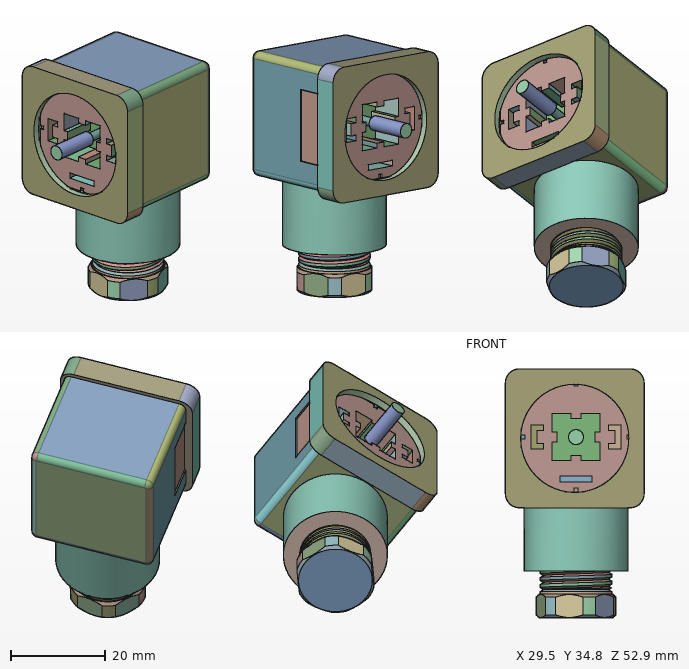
import cadquery as cq
import math


TOTAL_HEIGHT = 52.9

FLANGE_SIZE = 29.5
FLANGE_THICKNESS = 5.0
FLANGE_CORNER_RADIUS = 3.0
FLANGE_OFFSET = -0.25

HOUSING_SIZE = 27.1
HOUSING_BACK_Y = 28.5
HOUSING_EDGE_RADIUS = 1.5
HOUSING_BACK_RADIUS = 1.25

LABEL_BACK_Y = 12.4
LABEL_HEIGHT = 15.55
LABEL_DEPTH = 0.3

SOCKET_RADIUS = 11.5
SOCKET_RIM_DEPTH = 1.55
SOCKET_DEPTH = 2.0
CHAMBER_SIZE = 23.3
NOTCH_WIDTH = 0.8
NOTCH_INNER_RADIUS = 10.85
NOTCH_DEPTH = 0.4

POCKET_WIDTH = 10.15
POCKET_HEIGHT = 10.0
POCKET_FLOOR_Y = 9.5
KEY_WIDTH = 2.05
KEY_DEPTH = 1.05

SLOT_THICKNESS = 1.2
SLOT_DEPTH = 5.3
SIDE_SLOT_OUTER_X = 9.5
SIDE_SLOT_LENGTH = 2.65
SIDE_SLOT_HEIGHT = 5.15
BOTTOM_SLOT_WIDTH = 6.8
BOTTOM_SLOT_Z = -8.9

PIN_RADIUS = 1.6
PIN_NECK_RADIUS = 0.95
PIN_FRONT_Y = -6.3
PIN_SHOULDER_Y = 3.85

GLAND_Y = 17.0
SLEEVE_RADIUS = 11.05
SLEEVE_BOTTOM_Z = -28.45
THREAD_RADIUS = 7.6
THREAD_PITCH = 1.5
GROOVE_DEPTH = 0.7
GROOVE_MOUTH = 0.85
GROOVE_OVERSHOOT = 0.15
RELIEF_Z = -32.4
NUT_TOP_Z = -33.35
NUT_RADIUS = 8.45
NUT_ACROSS_FLATS = 15.85
NUT_TURN = -10.3
NUT_CHAMFER = 0.65

GLAND_BOTTOM_Z = FLANGE_OFFSET + FLANGE_SIZE / 2 - TOTAL_HEIGHT


def box(x_min, x_max, y_min, y_max, z_min, z_max):
    """Block between the given limits."""
    size = (x_max - x_min, y_max - y_min, z_max - z_min)
    return cq.Workplane("XY").box(*size, centered=False).translate((x_min, y_min, z_min))


def centred_block(width, height, y_front, y_back):
    """Block centred on the pin axis."""
    return box(-width / 2, width / 2, y_front, y_back, -height / 2, height / 2)


def pin_axis_cylinder(radius, y_front, y_back):
    """Cylinder along Y on the pin axis."""
    return cq.Workplane("XZ", origin=(0, y_front, 0)).circle(radius).extrude(y_front - y_back)


def gland_cylinder(radius, z_bottom, z_top):
    """Cylinder along Z on the gland axis."""
    return cq.Workplane("XY", origin=(0, GLAND_Y, z_bottom)).circle(radius).extrude(z_top - z_bottom)


def make_flange():
    flange = centred_block(FLANGE_SIZE, FLANGE_SIZE, 0, FLANGE_THICKNESS)
    flange = flange.edges("|Y").fillet(FLANGE_CORNER_RADIUS)
    return flange.translate((FLANGE_OFFSET, 0, FLANGE_OFFSET))


def make_housing():
    housing = centred_block(HOUSING_SIZE, HOUSING_SIZE, FLANGE_THICKNESS, HOUSING_BACK_Y)
    housing = housing.edges("|Y").fillet(HOUSING_EDGE_RADIUS)
    housing = housing.faces(">Y").edges().fillet(HOUSING_BACK_RADIUS)
    side_x = -HOUSING_SIZE / 2
    half = LABEL_HEIGHT / 2
    label = box(side_x, side_x + LABEL_DEPTH, FLANGE_THICKNESS, LABEL_BACK_Y, -half, half)
    return housing.cut(label)


def make_socket():
    """Round opening, square chamber behind it, and a small notch at each edge of the chamber floor."""
    opening = pin_axis_cylinder(SOCKET_RADIUS, 0, SOCKET_RIM_DEPTH)
    socket = opening.translate((FLANGE_OFFSET, 0, FLANGE_OFFSET))
    socket = socket.union(centred_block(CHAMBER_SIZE, CHAMBER_SIZE, SOCKET_RIM_DEPTH, SOCKET_DEPTH))
    half = NOTCH_WIDTH / 2
    notch = box(NOTCH_INNER_RADIUS, CHAMBER_SIZE / 2, SOCKET_DEPTH, SOCKET_DEPTH + NOTCH_DEPTH, -half, half)
    for quarter in range(4):
        socket = socket.union(notch.rotate((0, 0, 0), (0, 1, 0), 90 * quarter))
    return socket


def make_pocket():
    """Square pocket with a key in the middle of each side, left standing to the floor."""
    pocket = centred_block(POCKET_WIDTH, POCKET_HEIGHT, SOCKET_DEPTH, POCKET_FLOOR_Y)
    clear_width = POCKET_WIDTH - 2 * KEY_DEPTH
    clear_height = POCKET_HEIGHT - 2 * KEY_DEPTH
    keys = centred_block(POCKET_WIDTH, KEY_WIDTH, SOCKET_DEPTH, POCKET_FLOOR_Y)
    keys = keys.union(centred_block(KEY_WIDTH, POCKET_HEIGHT, SOCKET_DEPTH, POCKET_FLOOR_Y))
    keys = keys.cut(centred_block(clear_width, clear_height, SOCKET_DEPTH, POCKET_FLOOR_Y))
    return pocket.cut(keys)


def make_terminal_slots():
    """C-shaped slot on each side of the pocket, with its arms pointing at it, and a straight slot below."""
    back_y = SOCKET_DEPTH + SLOT_DEPTH
    inner_x = SIDE_SLOT_OUTER_X - SIDE_SLOT_LENGTH
    half = SIDE_SLOT_HEIGHT / 2
    right = box(inner_x, SIDE_SLOT_OUTER_X, SOCKET_DEPTH, back_y, -half, half)
    inner_half = half - SLOT_THICKNESS
    web_x = SIDE_SLOT_OUTER_X - SLOT_THICKNESS
    right = right.cut(box(inner_x, web_x, SOCKET_DEPTH, back_y, -inner_half, inner_half))
    left = right.mirror("YZ")
    bottom = centred_block(BOTTOM_SLOT_WIDTH, SLOT_THICKNESS, SOCKET_DEPTH, back_y)
    return right.union(left).union(bottom.translate((0, 0, BOTTOM_SLOT_Z)))


def make_pin():
    head = pin_axis_cylinder(PIN_RADIUS, PIN_FRONT_Y, PIN_SHOULDER_Y)
    return head.union(pin_axis_cylinder(PIN_NECK_RADIUS, PIN_SHOULDER_Y, POCKET_FLOOR_Y))


def groove_section(z_centre):
    """V section on the -X side of a gland-axis cylinder, reaching a little outside it."""
    mouth_half = GROOVE_MOUTH / 2 * (1 + GROOVE_OVERSHOOT / GROOVE_DEPTH)
    outer = -THREAD_RADIUS - GROOVE_OVERSHOOT
    root = -THREAD_RADIUS + GROOVE_DEPTH
    return (
        cq.Workplane("XZ", origin=(0, 0, z_centre))
        .polyline([(outer, -mouth_half), (root, 0), (outer, mouth_half)])
        .close()
    )


def make_threaded_neck():
    """Neck with a right-hand V thread that starts in a ring-shaped relief groove."""
    neck_top_z = SLEEVE_BOTTOM_Z + 2 * THREAD_PITCH
    neck_length = neck_top_z - NUT_TOP_Z
    neck = cq.Workplane("XY", origin=(0, 0, NUT_TOP_Z)).circle(THREAD_RADIUS).extrude(neck_length)
    relief = groove_section(RELIEF_Z).revolve(360, (0, 0, 0), (0, 1, 0))
    thread_length = SLEEVE_BOTTOM_Z + THREAD_PITCH - RELIEF_Z
    helix = cq.Workplane(cq.Wire.makeHelix(THREAD_PITCH, thread_length, THREAD_RADIUS))
    path = helix.rotate((0, 0, 0), (0, 0, 1), 180).translate((0, 0, RELIEF_Z))
    thread = groove_section(RELIEF_Z).sweep(path, isFrenet=True)
    return neck.cut(thread).cut(relief).translate((0, GLAND_Y, 0))


def make_nut():
    """Hexagon rounded at its corners, with both ends chamfered."""
    height = NUT_TOP_Z - GLAND_BOTTOM_Z
    blank = gland_cylinder(NUT_RADIUS, GLAND_BOTTOM_Z, NUT_TOP_Z).edges().chamfer(NUT_CHAMFER)
    hexagon = (
        cq.Workplane("XY", origin=(0, GLAND_Y, GLAND_BOTTOM_Z))
        .polygon(6, NUT_ACROSS_FLATS / math.cos(math.pi / 6))
        .extrude(height)
        .rotate((0, GLAND_Y, 0), (0, GLAND_Y, 1), NUT_TURN)
    )
    return blank.intersect(hexagon)


sleeve = gland_cylinder(SLEEVE_RADIUS, SLEEVE_BOTTOM_Z, -HOUSING_SIZE / 2 + HOUSING_EDGE_RADIUS)
body = make_flange().union(make_housing()).union(sleeve)
body = body.cut(make_socket()).cut(make_pocket()).cut(make_terminal_slots()).union(make_pin())
result = body.union(make_threaded_neck()).union(make_nut())